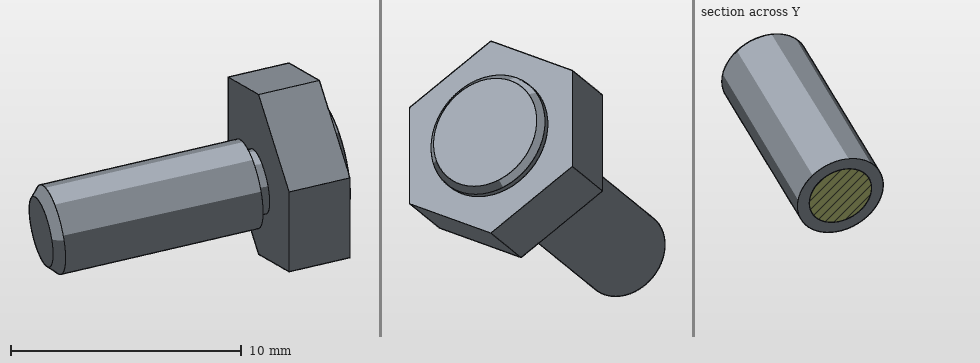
import cadquery as cq
import math

total_length = 13.33
across_flats = 8.0
head_height = 2.8
head_sides = 6
flat_to_corner_angle = 180 / head_sides
boss_diameter = 5.6
boss_height = 0.53
boss_chamfer = 0.27
neck_diameter = 2.9
neck_length = 0.49
shank_diameter = 4.0
shank_chamfer = 0.43
eccentricity = 0.4

head_back = head_height
boss_back = head_back + boss_height
shank_tip = boss_back - total_length
shank_length = -neck_length - shank_tip


def cylinder(diameter, length, start, axis_z=0):
    """Cylinder parallel to Y at height axis_z, running from start towards +Y."""
    plane = cq.Workplane("XZ", origin=(0, start, axis_z))
    return plane.circle(diameter / 2).extrude(-length)


def hex_head():
    """Hexagonal prism with flats facing +/-X and corners at +/-Z."""
    across_corners = across_flats / math.cos(math.radians(flat_to_corner_angle))
    prism = cq.Workplane("XZ").polygon(head_sides, across_corners).extrude(-head_height)
    return prism.rotate((0, 0, 0), (0, 1, 0), flat_to_corner_angle)


boss = cylinder(boss_diameter, boss_height, head_back).faces(">Y").chamfer(boss_chamfer)
neck = cylinder(neck_diameter, neck_length, -neck_length, -eccentricity)
shank = cylinder(shank_diameter, shank_length, shank_tip, -eccentricity)
shank = shank.faces("<Y").chamfer(shank_chamfer)

result = hex_head().union(boss).union(neck).union(shank)